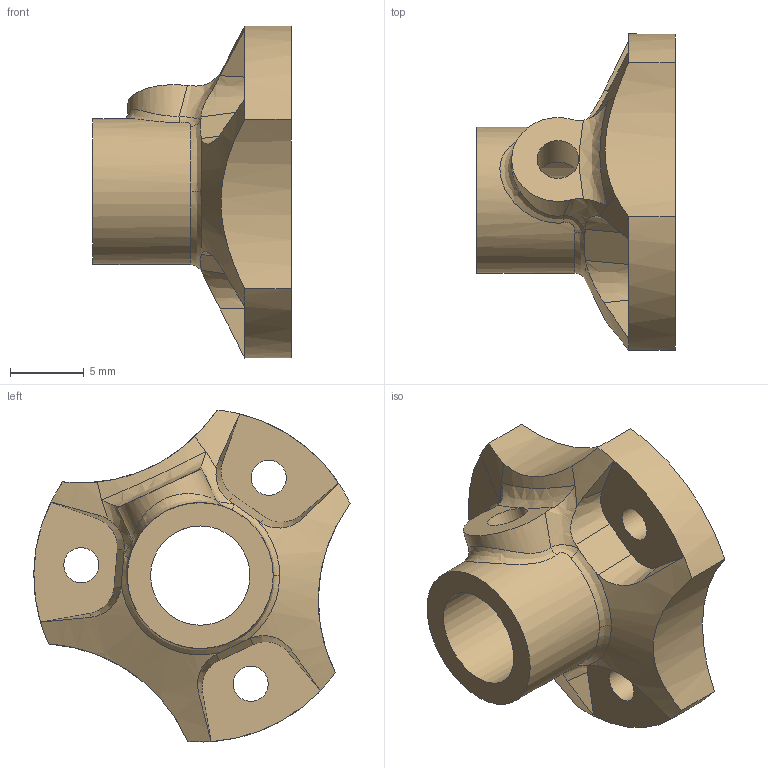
import cadquery as cq
import math

total_length = 13.49
flange_radius = 11.315
flange_thickness = 3.17
hub_radius = 9.92 / 2
bore_radius = 6.75 / 2
cone_slope = 2.0
hub_fillet = 0.8

lobe_count = 3
lobe_spacing = 360 / lobe_count
first_lobe_angle = 55
hole_diameter = 2.38
hole_circle_radius = 8.12
scallop_radius = 11.1
scallop_floor_radius = 8.1

pocket_inner_radius = 5.77
pocket_half_angle = 15
pocket_rim_half_width = 4.1
pocket_corner_radius = 2.0
pocket_draft = 9.0
pocket_depth = 4.0

boss_angle = first_lobe_angle + lobe_spacing / 2
boss_radius = 6.3 / 2
boss_height = 6.55
boss_axis_x = -7.97
boss_hole_diameter = 2.85
boss_root_height = 2.5
boss_fillet = 1.55
trimmer_width = 12.0

flange_front_x = -flange_thickness
hub_end_x = -total_length
tolerance = 0.01
clearance = 1.0

cone_inner_radius = 3.5
cone_outer_radius = 20.0
boss_post_length = 14.0


def radial_direction(angle):
    """Unit vector square to the X axis; angle runs from -Y towards +Z."""
    a = math.radians(angle)
    return cq.Vector(0, -math.cos(a), math.sin(a))


def axial_plane(angle, x):
    """Plane facing -X whose local x axis points outward along the given angle."""
    return cq.Plane(origin=(x, 0, 0), xDir=radial_direction(angle), normal=(-1, 0, 0))


def boss_plane(height):
    """Plane across the boss axis; its local x axis is the part's X axis."""
    center = radial_direction(boss_angle) * height + cq.Vector(boss_axis_x, 0, 0)
    return cq.Plane(origin=center, xDir=(1, 0, 0), normal=radial_direction(boss_angle))


def cone_x(radius):
    """Place along the X axis where the cone has the given radius."""
    return flange_front_x + (radius - flange_radius) / cone_slope


def make_cone():
    """Oversize solid cone; its seam lies away from the boss."""
    return (
        cq.Workplane("XY")
        .moveTo(cone_x(cone_outer_radius), 0)
        .lineTo(cone_x(cone_outer_radius), -cone_outer_radius)
        .lineTo(cone_x(cone_inner_radius), -cone_inner_radius)
        .lineTo(cone_x(cone_inner_radius), 0)
        .close()
        .revolve(360, (0, 0, 0), (1, 0, 0))
    )


def follows_wall(edge, axis_point, axis, radius):
    """True if a curved edge stays at the given radius from an axis."""
    for position in (0.1, 0.5, 0.9):
        offset = edge.positionAt(position) - axis_point
        distance = (offset - axis * offset.dot(axis)).Length
        if abs(distance - radius) > tolerance:
            return False
    return edge.geomType() != "LINE"


def make_cone_with_boss():
    """Oversize cone with an overlong boss, blended where the boss wall meets the cone."""
    post = cq.Workplane(boss_plane(boss_root_height)).circle(boss_radius).extrude(boss_post_length)
    joined = make_cone().union(post)
    axis = radial_direction(boss_angle)
    axis_point = cq.Vector(boss_axis_x, 0, 0)
    joint = [
        edge
        for edge in joined.edges().vals()
        if edge.geomType() != "CIRCLE" and follows_wall(edge, axis_point, axis, boss_radius)
    ]
    return joined.newObject(joint).fillet(boss_fillet)


def add_hub(body):
    """Join the hub to the body and fillet all round it."""
    hub = cq.Workplane(axial_plane(0, 0)).circle(hub_radius).extrude(total_length)
    joined = body.union(hub)
    joint = [
        edge
        for edge in joined.edges().vals()
        if edge.Center().x > hub_end_x + tolerance
        and follows_wall(edge, cq.Vector(), cq.Vector(1, 0, 0), hub_radius)
    ]
    return joined.newObject(joint).fillet(hub_fillet)


def make_envelope():
    """Round bar as wide as the flange and as long as the part."""
    return cq.Workplane(axial_plane(0, 0)).circle(flange_radius).extrude(total_length)


def make_boss_trimmer():
    """Block above the boss top, shaped to leave a fillet where the top meets the cone."""
    length = total_length - flange_thickness
    block = (
        cq.Workplane(boss_plane(boss_height))
        .center(flange_front_x - length / 2 - boss_axis_x, 0)
        .rect(length, trimmer_width)
        .extrude(flange_radius)
        .cut(make_cone())
    )
    underside = block.faces(cq.selectors.DirectionNthSelector(radial_direction(boss_angle), 0))
    joint = [edge for edge in underside.edges().vals() if edge.geomType() != "LINE"]
    return block.newObject(joint).fillet(boss_fillet)


def make_boss_hole():
    """Hole along the boss axis, opening into the bore."""
    return cq.Workplane(boss_plane(0)).circle(boss_hole_diameter / 2).extrude(flange_radius)


def make_bore():
    """Hole through the whole length of the part."""
    return cq.Workplane(axial_plane(0, 0)).circle(bore_radius).extrude(total_length)


def make_mounting_hole(angle):
    """Hole through the flange, parallel to the part's axis."""
    plane = axial_plane(angle, 0)
    return (
        cq.Workplane(plane)
        .center(hole_circle_radius, 0)
        .circle(hole_diameter / 2)
        .extrude(total_length)
    )


def make_pocket(angle):
    """Drafted pocket around a mounting hole, open outwards, floor level with the flange front."""
    spread = math.tan(math.radians(pocket_half_angle))
    rim_radius = math.sqrt(flange_radius**2 - pocket_rim_half_width**2)
    outer_radius = flange_radius + clearance
    inner_half_width = pocket_rim_half_width - (rim_radius - pocket_inner_radius) * spread
    outer_half_width = pocket_rim_half_width + (outer_radius - rim_radius) * spread
    plane = axial_plane(angle, flange_front_x)
    floor = (
        cq.Sketch()
        .polygon(
            [
                (pocket_inner_radius, -inner_half_width),
                (outer_radius, -outer_half_width),
                (outer_radius, outer_half_width),
                (pocket_inner_radius, inner_half_width),
                (pocket_inner_radius, -inner_half_width),
            ]
        )
        .vertices("<X")
        .fillet(pocket_corner_radius)
    )
    return cq.Workplane(plane).placeSketch(floor).extrude(pocket_depth, taper=-pocket_draft)


def make_scallop(angle):
    """Round cutter that hollows the rim between two lobes."""
    plane = axial_plane(angle, 0)
    return (
        cq.Workplane(plane)
        .center(scallop_floor_radius + scallop_radius, 0)
        .circle(scallop_radius)
        .extrude(total_length)
    )


result = add_hub(make_cone_with_boss()).intersect(make_envelope()).cut(make_boss_trimmer())
for lobe in range(lobe_count):
    lobe_angle = first_lobe_angle + lobe * lobe_spacing
    result = result.cut(make_scallop(lobe_angle + lobe_spacing / 2))
    result = result.cut(make_pocket(lobe_angle))
    result = result.cut(make_mounting_hole(lobe_angle))
result = result.cut(make_bore()).cut(make_boss_hole())